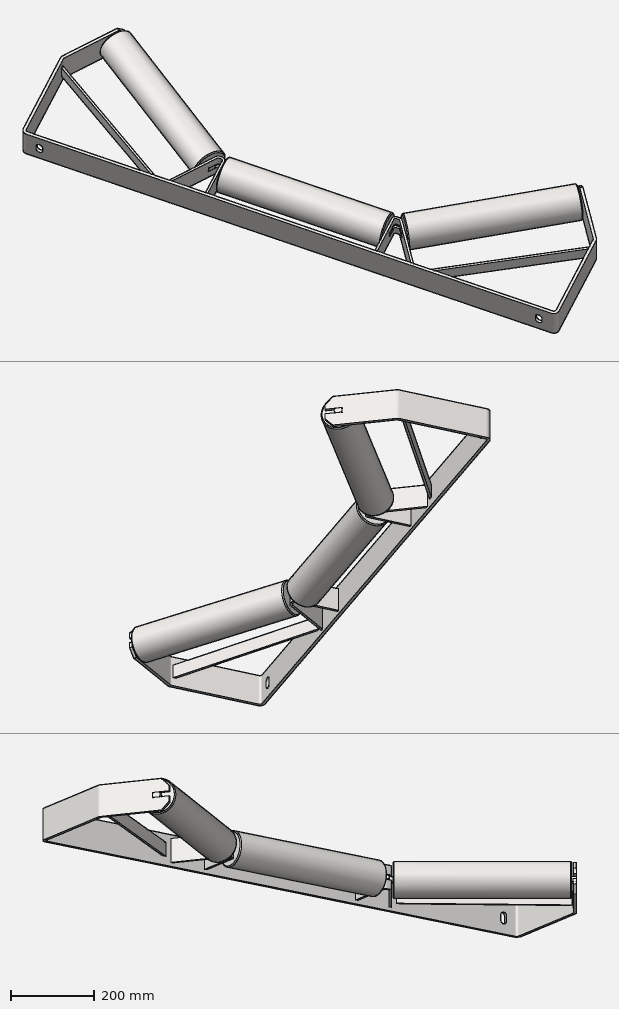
import cadquery as cq
import math

FRAME_LENGTH = 1400.0
STRIP_WIDTH = 80.0
STRIP_THICKNESS = 8.0
BEND_RADIUS = 14.0
WALL_HEIGHT = 246.0
ARM_LENGTH = 179.0
ARM_CHAMFER = 20.0

MOUNT_SLOT_LENGTH = 30.0
MOUNT_SLOT_WIDTH = 17.0
MOUNT_SLOT_INSET = 48.0

TROUGH_ANGLE = 35.0
ROLLER_DIAMETER = 90.0
ROLLER_LENGTH = 430.0
ROLLER_CHAMFER = 3.0
SEAT_SPAN = 437.0
AXLE_DIAMETER = 20.0
AXLE_FLAT_WIDTH = 13.0
MIDDLE_AXIS_Y = 101.0
SIDE_CENTRE_Y = 237.0

BRACKET_WIDTH = 60.0
BRACKET_THICKNESS = 6.0
BRACKET_HEIGHT = 127.0
BRACKET_BEND_RADIUS = 10.0
BRACE_WIDTH = 35.0
BRACE_THICKNESS = 6.0
BRACE_TOP_Y = 238.0
BRACE_FOOT_X = 337.0

ANGLE = math.radians(TROUGH_ANGLE)
COS = math.cos(ANGLE)
SIN = math.sin(ANGLE)
TAN = math.tan(ANGLE)
HALF_LENGTH = FRAME_LENGTH / 2
HALF_SPAN = SEAT_SPAN / 2
ARM_REACH = HALF_SPAN + STRIP_THICKNESS
BRACKET_REACH = HALF_SPAN + BRACKET_THICKNESS
AXLE_RADIUS = AXLE_DIAMETER / 2
BASE_TOP = STRIP_THICKNESS
WALL_INSIDE_X = -HALF_LENGTH + STRIP_THICKNESS
SIDE_CENTRE_X = -HALF_LENGTH + (ARM_REACH + (SIDE_CENTRE_Y - WALL_HEIGHT) * SIN) / COS

MIDDLE_PLANE = cq.Plane(origin=(0, MIDDLE_AXIS_Y, 0), xDir=(0, 1, 0), normal=(1, 0, 0))
LEFT_PLANE = cq.Plane(
    origin=(SIDE_CENTRE_X, SIDE_CENTRE_Y, 0), xDir=(SIN, COS, 0), normal=(COS, -SIN, 0)
)


def mirrored(body):
    """The same shape on the other side of the middle plane."""
    return body.mirror("YZ")


def plate(points, width):
    """A bar of the given outline, centred on Z = 0."""
    return cq.Workplane("XY").workplane(offset=-width / 2).polyline(points).close().extrude(width)


def round_bend(body, outer_corner, inner_corner, radius, thickness):
    """Round both faces of one bend, with the outer face at the given radius."""
    for corner, bend in ((outer_corner, radius), (inner_corner, radius - thickness)):
        nearest = cq.selectors.NearestToPointSelector((*corner, 0))
        body = body.edges("|Z").edges(nearest).fillet(bend)
    return body


def axle_slot(plane, inner_end, outer_end):
    """Cutter for a slot that seats an axle flat and opens upwards."""
    size = (STRIP_WIDTH, AXLE_FLAT_WIDTH, outer_end - inner_end)
    centre = (STRIP_WIDTH / 2 - AXLE_RADIUS, 0, (outer_end + inner_end) / 2)
    return cq.Workplane(plane).box(*size).translate(plane.toWorldCoords(centre) - plane.origin)


def make_frame():
    wall_outer = (-HALF_LENGTH, WALL_HEIGHT)
    wall_inner = (WALL_INSIDE_X, WALL_HEIGHT - STRIP_THICKNESS * math.tan(ANGLE / 2))
    base_outer = (-HALF_LENGTH, 0)
    base_inner = (WALL_INSIDE_X, BASE_TOP)
    tip_outer = (-HALF_LENGTH + ARM_LENGTH * SIN, WALL_HEIGHT + ARM_LENGTH * COS)
    tip_inner = (tip_outer[0] + STRIP_THICKNESS * COS, tip_outer[1] - STRIP_THICKNESS * SIN)

    left = [base_inner, wall_inner, tip_inner, tip_outer, wall_outer, base_outer]
    right = [(-x, y) for x, y in reversed(left)]
    frame = plate(left + right, STRIP_WIDTH)

    for side in (1, -1):
        for outer, inner in ((wall_outer, wall_inner), (base_outer, base_inner)):
            outer_corner = (side * outer[0], outer[1])
            inner_corner = (side * inner[0], inner[1])
            frame = round_bend(frame, outer_corner, inner_corner, BEND_RADIUS, STRIP_THICKNESS)

    frame = frame.faces(">Y").edges("<Z or >Z").chamfer(ARM_CHAMFER)

    slot = axle_slot(LEFT_PLANE, -ARM_REACH, -HALF_SPAN)
    frame = frame.cut(slot).cut(mirrored(slot))

    slot_x = HALF_LENGTH - MOUNT_SLOT_INSET
    mounts = (
        cq.Workplane("XZ")
        .pushPoints([(-slot_x, 0), (slot_x, 0)])
        .slot2D(MOUNT_SLOT_LENGTH, MOUNT_SLOT_WIDTH, 90)
        .extrude(-STRIP_THICKNESS)
    )
    return frame.cut(mounts)


def make_left_bracket():
    """Folded bar: an upright for the middle roller and an inclined leg for the left roller."""
    seat_x = SIDE_CENTRE_X + HALF_SPAN * COS
    seat_y = SIDE_CENTRE_Y - HALF_SPAN * SIN
    foot_x = seat_x - (seat_y - BASE_TOP) * TAN
    top_x = seat_x + (BRACKET_HEIGHT - seat_y) * TAN

    upright_outer = (-HALF_SPAN, BRACKET_HEIGHT)
    upright_inner = (-BRACKET_REACH, BRACKET_HEIGHT - BRACKET_THICKNESS)
    leg_outer = (top_x, BRACKET_HEIGHT)
    leg_inner = (
        top_x + BRACKET_THICKNESS * (1 / COS - TAN),
        BRACKET_HEIGHT - BRACKET_THICKNESS,
    )
    bracket = plate(
        [
            (-HALF_SPAN, BASE_TOP),
            upright_outer,
            leg_outer,
            (foot_x, BASE_TOP),
            (foot_x + BRACKET_THICKNESS / COS, BASE_TOP),
            leg_inner,
            upright_inner,
            (-BRACKET_REACH, BASE_TOP),
        ],
        BRACKET_WIDTH,
    )
    bracket = round_bend(bracket, upright_outer, upright_inner, BRACKET_BEND_RADIUS, BRACKET_THICKNESS)
    bracket = round_bend(bracket, leg_outer, leg_inner, BRACKET_BEND_RADIUS, BRACKET_THICKNESS)

    bracket = bracket.cut(axle_slot(MIDDLE_PLANE, top_x, -HALF_SPAN))
    return bracket.cut(axle_slot(LEFT_PLANE, HALF_SPAN, BRACKET_REACH))


def make_left_brace():
    """Straight bar from the side wall down to the base."""
    foot_x = -BRACE_FOOT_X
    slope = math.atan2(BRACE_TOP_Y - BASE_TOP, foot_x - WALL_INSIDE_X)
    return plate(
        [
            (WALL_INSIDE_X, BRACE_TOP_Y),
            (foot_x, BASE_TOP),
            (foot_x - BRACE_THICKNESS / math.sin(slope), BASE_TOP),
            (WALL_INSIDE_X, BRACE_TOP_Y - BRACE_THICKNESS / math.cos(slope)),
        ],
        BRACE_WIDTH,
    )


def cylinder(plane, diameter, start, end):
    """A cylinder along the roller axis, between two distances from the roller centre."""
    return cq.Workplane(plane).workplane(offset=start).circle(diameter / 2).extrude(end - start)


def make_roller(plane, start_reach):
    """Roller with a flattened axle: it starts at start_reach and ends flush with a bracket."""
    half_length = ROLLER_LENGTH / 2
    shell = cylinder(plane, ROLLER_DIAMETER, -half_length, half_length)
    shell = shell.edges().chamfer(ROLLER_CHAMFER)
    axle = cylinder(plane, AXLE_DIAMETER, -start_reach, BRACKET_REACH)
    flats = cq.Workplane(plane).box(AXLE_DIAMETER, AXLE_FLAT_WIDTH, 2 * start_reach)
    return shell.union(axle.intersect(flats))


frame = make_frame()
left_bracket = make_left_bracket()
left_brace = make_left_brace()
middle_roller = make_roller(MIDDLE_PLANE, BRACKET_REACH)
left_roller = make_roller(LEFT_PLANE, ARM_REACH)

bodies = [frame, middle_roller]
for left_body in (left_bracket, left_brace, left_roller):
    bodies += [left_body, mirrored(left_body)]

result = cq.Compound.makeCompound([body.solids().val() for body in bodies])